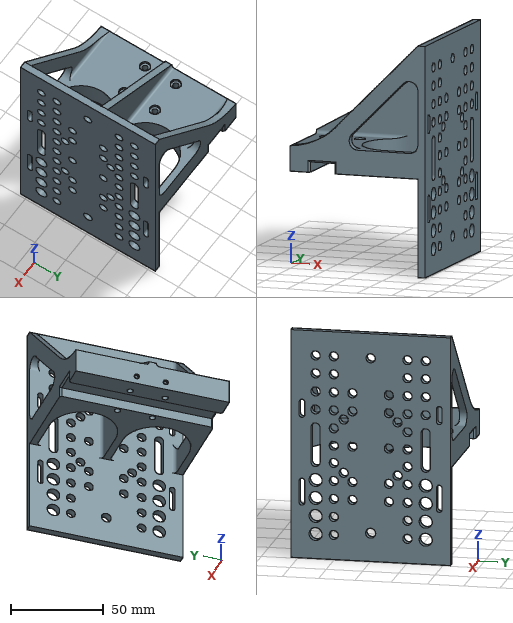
import cadquery as cq
import math

DEPTH = 77.5
WIDTH = 88.0
HEIGHT = 127.0

WALL = 4.1
PLATE_FRONT = DEPTH - WALL
PLATE_MIDDLE = HEIGHT / 2
PLATFORM_BOTTOM = 54.0
PLATFORM_TOP = 67.8
FILLET = 2.0
MIDDLE_RIB_FRONT_TOP = PLATFORM_TOP + FILLET
MIDDLE_RIB_BACK_TOP = 110.9
BLEND_RADIUS = 40.0

SIDE_RIB_INNER = WIDTH / 2 - WALL
BAY_WIDTH = SIDE_RIB_INNER - WALL / 2
BAY_FRONT = 34.3
BAY_CENTER = (SIDE_RIB_INNER + WALL / 2) / 2

WINDOW_STRUT = 9.0
WINDOW_RADIUS = 5.0

CHANNEL_CENTER = 18.4
CHANNEL_WIDTH = 14.0
CHANNEL_TOP = 59.5
CHANNEL_CHAMFER = 1.0

MOUNT_FRONT = 7.9
MOUNT_PITCH = 20.1
MOUNT_DIAMETER = 3.3
COUNTERBORE_DIAMETER = 6.0
COUNTERBORE_DEPTH = 1.5

FRONT_HOLE_HEIGHT = 58.8
FRONT_HOLE_PLACES = (9.0, -7.6)
FRONT_HOLE_DIAMETER = 2.8
FRONT_PILOT_DIAMETER = 2.0
FRONT_STEP_DEPTH = 0.5

HOLE_DIAMETER = 5.0
LARGE_HOLE_DIAMETER = 7.1
INNER_COLUMN = 10.0
MIDDLE_COLUMN = 20.3
OUTER_COLUMN = 30.4
ROW_PITCH = 10.0
ROW_COUNT = 5
LAST_ROW = 49.8
ROWS = [LAST_ROW - ROW_PITCH * i for i in reversed(range(ROW_COUNT))]
DIAGONAL_OFFSET = 14.9
LOWER_CENTER_DIAMETER = 5.5
LOWER_CENTER_OFFSET = -47.8

SLOT_COLUMN = 37.8
SLOT_WIDTH = 3.0
UPPER_SLOT_OFFSET = 20.0
UPPER_SLOT_LENGTH = 10.0
LOWER_SLOT_OFFSET = -26.5
LOWER_SLOT_LENGTH = 15.0


def block(x_min, x_max, y_min, y_max, z_min, z_max):
    """Box between two opposite corners."""
    size = (x_max - x_min, y_max - y_min, z_max - z_min)
    return cq.Workplane("XY").box(*size, centered=False).translate((x_min, y_min, z_min))


def slab(outline, y_middle, thickness):
    """Draw an XZ outline and extrude it evenly to both sides of y_middle."""
    return outline().extrude(thickness / 2, both=True).translate((0, y_middle, 0))


def fillet_section(plane, corner, u_direction, v_direction):
    """Concave fillet section filling the corner of two perpendicular walls."""
    u, v = corner
    u_end = u + u_direction * FILLET
    v_end = v + v_direction * FILLET
    bulge = FILLET * (1 - math.sqrt(0.5))
    middle = (u + u_direction * bulge, v + v_direction * bulge)
    section = cq.Workplane(plane).moveTo(u, v).lineTo(u_end, v)
    return section.threePointArc(middle, (u, v_end)).close()


def make_bay_opening(side):
    """Opening through the platform: a half round front running back to the plate."""
    radius = BAY_WIDTH / 2
    y_middle = side * BAY_CENTER
    x_middle = BAY_FRONT + radius
    opening = block(x_middle, PLATE_FRONT, y_middle - radius, y_middle + radius, 0, HEIGHT)
    front = cq.Workplane("XY").center(x_middle, y_middle).circle(radius).extrude(HEIGHT)
    return opening.union(front)


def root_fillets(wall_y, direction):
    """Fillets where a rib face meets the platform top, up to the bay openings, and the plate front."""
    along_platform = fillet_section("YZ", (wall_y, PLATFORM_TOP), direction, 1).extrude(PLATE_FRONT)
    along_plate = fillet_section("XY", (PLATE_FRONT, wall_y), -1, direction).extrude(HEIGHT)
    for side in (-1, 1):
        along_platform = along_platform.cut(make_bay_opening(side))
    return along_platform, along_plate


def side_rib_outline():
    """45 degree rib that blends into the platform top; the front edge cuts the blend short."""
    line_foot = PLATE_FRONT - (HEIGHT - PLATFORM_TOP)
    arc_center = line_foot - BLEND_RADIUS * math.tan(math.pi / 8)

    def blend_point(angle):
        x = arc_center + BLEND_RADIUS * math.sin(angle)
        return x, PLATFORM_TOP + BLEND_RADIUS * (1 - math.cos(angle))

    start_angle = math.asin(-arc_center / BLEND_RADIUS)
    end_angle = math.pi / 4
    arc_start = blend_point(start_angle)
    arc_middle = blend_point((start_angle + end_angle) / 2)
    outline = cq.Workplane("XZ").moveTo(0, PLATFORM_BOTTOM).lineTo(*arc_start)
    outline = outline.threePointArc(arc_middle, blend_point(end_angle)).lineTo(PLATE_FRONT, HEIGHT)
    return outline.lineTo(PLATE_FRONT, PLATFORM_BOTTOM).close()


def middle_rib_outline():
    return cq.Workplane("XZ").polyline([
        (0, PLATFORM_BOTTOM),
        (0, MIDDLE_RIB_FRONT_TOP),
        (PLATE_FRONT, MIDDLE_RIB_BACK_TOP),
        (PLATE_FRONT, PLATFORM_BOTTOM),
    ]).close()


def window_outline():
    diagonal_drop = WINDOW_STRUT * math.sqrt(2)
    top = HEIGHT - diagonal_drop
    run = top - PLATFORM_TOP
    return cq.Workplane("XZ").polyline([
        (PLATE_FRONT - run, PLATFORM_TOP),
        (PLATE_FRONT, top),
        (PLATE_FRONT, PLATFORM_TOP),
    ]).close()


def make_window():
    """Rounded triangular window that leaves a diagonal strut of even width."""
    return slab(window_outline, 0, WIDTH).edges("|Y").fillet(WINDOW_RADIUS)


def make_rib(outline, y_middle, fillet_directions):
    """Rib with root fillets, all kept inside the rib outline."""
    rib = slab(outline, y_middle, WALL)
    envelope = slab(outline, y_middle, WALL + 2 * FILLET)
    for direction in fillet_directions:
        for fillet in root_fillets(y_middle + direction * WALL / 2, direction):
            rib = rib.union(fillet.intersect(envelope))
    return rib


def make_channel():
    """Channel along Y with a chamfered mouth at both ends."""
    x_min = CHANNEL_CENTER - CHANNEL_WIDTH / 2
    x_max = CHANNEL_CENTER + CHANNEL_WIDTH / 2
    channel = block(x_min, x_max, -WIDTH / 2, WIDTH / 2, 0, CHANNEL_TOP)
    for side in (-1, 1):
        plane = cq.Workplane("XZ", origin=(0, side * WIDTH / 2, 0))
        mouth_width = CHANNEL_WIDTH + 2 * CHANNEL_CHAMFER
        mouth_top = CHANNEL_TOP + CHANNEL_CHAMFER
        mouth = (
            plane.center(CHANNEL_CENTER, mouth_top / 2).rect(mouth_width, mouth_top)
            .workplane(offset=side * CHANNEL_CHAMFER)
            .center(0, -CHANNEL_CHAMFER / 2).rect(CHANNEL_WIDTH, CHANNEL_TOP)
            .loft(ruled=True)
        )
        channel = channel.union(mouth)
    return channel


def mount_holes():
    """Counterbored holes through the platform."""
    places = [
        (MOUNT_FRONT + step * MOUNT_PITCH, side * MOUNT_PITCH / 2)
        for step in (0, 1)
        for side in (-1, 1)
    ]
    seat = PLATFORM_TOP - COUNTERBORE_DEPTH
    top = cq.Workplane("XY").workplane(offset=seat).pushPoints(places)
    bores = top.circle(COUNTERBORE_DIAMETER / 2).extrude(COUNTERBORE_DEPTH)
    return bores.union(top.circle(MOUNT_DIAMETER / 2).extrude(-seat))


def front_holes():
    """Stepped blind holes: a wide mouth, then a narrower pilot of the same depth."""
    places = [(y, FRONT_HOLE_HEIGHT) for y in FRONT_HOLE_PLACES]
    edge = cq.Workplane("YZ").pushPoints(places)
    mouths = edge.circle(FRONT_HOLE_DIAMETER / 2).extrude(FRONT_STEP_DEPTH)
    pilots = edge.circle(FRONT_PILOT_DIAMETER / 2).extrude(2 * FRONT_STEP_DEPTH)
    return mouths.union(pilots)


def plate_workplane():
    """YZ plane at the plate front, centred on the plate."""
    return cq.Workplane("YZ", origin=(PLATE_FRONT, 0, PLATE_MIDDLE))


def plate_holes(places, diameter):
    return plate_workplane().pushPoints(places).circle(diameter / 2).extrude(WALL)


def plate_slots(offset, column, length, width):
    """Pair of vertical slots, one at each side of the plate."""
    places = [(-column, offset), (column, offset)]
    return plate_workplane().pushPoints(places).slot2D(length, width, 90).extrude(WALL)


def make_plate_cuts():
    small = [(0, LAST_ROW)]
    large = []
    for side in (-1, 1):
        for row_side in (-1, 1):
            small.append((side * DIAGONAL_OFFSET, row_side * DIAGONAL_OFFSET))
            small += [(side * MIDDLE_COLUMN, row_side * row) for row in ROWS]
            small += [(side * INNER_COLUMN, row_side * row) for row in ROWS[1:3]]
        small += [(side * column, 0) for column in (INNER_COLUMN, MIDDLE_COLUMN)]
        small += [(side * OUTER_COLUMN, row) for row in ROWS[1:]]
        large += [(side * OUTER_COLUMN, -row) for row in ROWS[1:]]
    column_slot_length = 2 * ROWS[0] + HOLE_DIAMETER
    return [
        plate_holes(small, HOLE_DIAMETER),
        plate_holes(large, LARGE_HOLE_DIAMETER),
        plate_holes([(0, LOWER_CENTER_OFFSET)], LOWER_CENTER_DIAMETER),
        plate_slots(0, OUTER_COLUMN, column_slot_length, HOLE_DIAMETER),
        plate_slots(UPPER_SLOT_OFFSET, SLOT_COLUMN, UPPER_SLOT_LENGTH, SLOT_WIDTH),
        plate_slots(LOWER_SLOT_OFFSET, SLOT_COLUMN, LOWER_SLOT_LENGTH, SLOT_WIDTH),
    ]


platform = block(0, PLATE_FRONT, -WIDTH / 2, WIDTH / 2, PLATFORM_BOTTOM, PLATFORM_TOP)
ribs = make_rib(middle_rib_outline, 0, (-1, 1))
window = make_window()
for side in (-1, 1):
    side_rib = make_rib(side_rib_outline, side * (WIDTH - WALL) / 2, (-side,))
    ribs = ribs.union(side_rib.cut(window))
    platform = platform.cut(make_bay_opening(side))

body = block(PLATE_FRONT, DEPTH, -WIDTH / 2, WIDTH / 2, 0, HEIGHT).union(platform).union(ribs)

for cutter in [make_channel(), mount_holes(), front_holes(), *make_plate_cuts()]:
    body = body.cut(cutter)

result = body